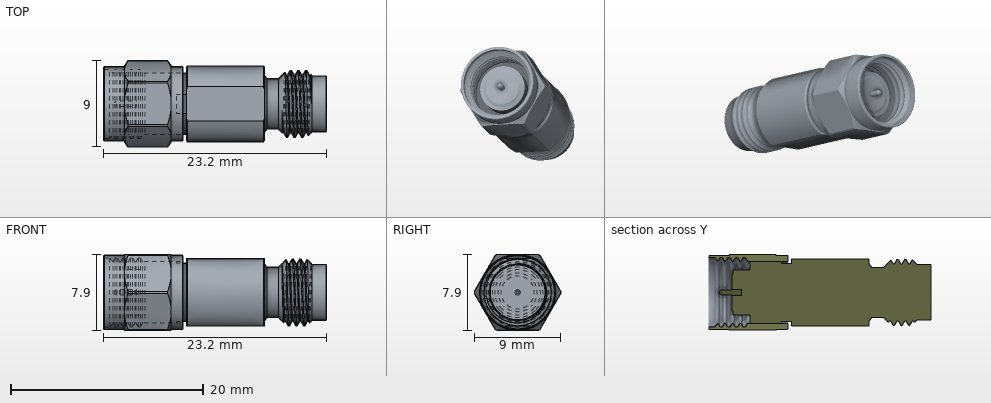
import cadquery as cq
import math


nut_length = 8.27
nut_radius = 3.88
nut_edge_chamfer = 0.08
hex_start = 2.16
hex_end = 7.03
hex_across_flats = 7.9
hex_corner_radius = 4.5
hex_chamfer_radius = 3.96
hex_chamfer_length = 0.37
socket_radius = 3.6
socket_depth = 0.62
bore_radius = 3.2
bore_lead_in = 0.35

thread_pitch = 0.8
crest_width = 0.13
flank_angle = 30
groove_overcut = 0.05

nut_groove_count = 4

male_root_radius = 3.0
male_crest_radius = 3.48
male_crest_at_top = 19.68
male_groove_start = 17.5
male_groove_end = 22.4

spigot_radius = 2.37
spigot_front = 2.5
boss_front = 2.4
boss_front_radius = 1.72
boss_base_radius = 2.02
flange_front = 4.3
neck_flat_start = 7.6
neck_across_flats = 6.08
barrel_start = 8.61
barrel_end = 16.74
barrel_radius = 3.96
barrel_across_flats = 7.05
barrel_chamfer = 0.12
relief_cone_radius = 2.97
relief_start = 17.0
relief_end = 18.2
relief_radius = 2.63
tail_start = 21.7
tail_radius = 2.92
tail_chamfer = 0.07
total_length = 23.2

pin_radius = 0.28
pin_tip = 1.1
pin_tip_radius = 0.13
pin_tip_length = 0.22
pin_seat_depth = 1.0


def turned(points):
    """Revolve an outline of (x, radius) points around the X axis."""
    return cq.Workplane("XY").polyline(points).close().revolve(360, (0, 0, 0), (1, 0, 0))


def groove_outline(crest_radius, root_radius):
    """Corners (x, radius) of one V groove centred on x = 0, cut slightly past the crest."""
    outward = math.copysign(1, crest_radius - root_radius)
    depth = abs(crest_radius - root_radius)
    slope = math.tan(math.radians(flank_angle))
    mouth_half = (thread_pitch - crest_width) / 2 + groove_overcut * slope
    root_half = mouth_half - (depth + groove_overcut) * slope
    mouth_radius = crest_radius + outward * groove_overcut
    return [
        (-root_half, root_radius),
        (root_half, root_radius),
        (mouth_half, mouth_radius),
        (-mouth_half, mouth_radius),
    ]


def make_male_groove():
    """Right-handed helical groove that leaves a crest at male_crest_at_top on the +Z side."""
    outline = groove_outline(male_crest_radius, male_root_radius)
    profile = cq.Workplane("XZ").polyline([(radius, x) for x, radius in outline]).close()
    helix_length = male_groove_end - male_groove_start
    helix = cq.Workplane(cq.Wire.makeHelix(thread_pitch, helix_length, male_root_radius))
    groove = profile.sweep(helix, isFrenet=True)

    groove = groove.rotate((0, 0, 0), (0, 1, 0), 90).translate((male_groove_start, 0, 0))
    start_turn = 360 * (male_groove_start - male_crest_at_top) / thread_pitch
    return groove.rotate((0, 0, 0), (1, 0, 0), start_turn)


def flats_slab(start, end, height):
    """Block that keeps only the part between two flats facing +Z and -Z."""
    width = 4 * barrel_radius
    return (
        cq.Workplane("XY")
        .box(end - start, width, height)
        .translate(((start + end) / 2, 0, 0))
    )


def make_nut():
    sleeve = turned([
        (0, 0),
        (0, nut_radius - nut_edge_chamfer),
        (nut_edge_chamfer, nut_radius),
        (nut_length - nut_edge_chamfer, nut_radius),
        (nut_length, nut_radius - nut_edge_chamfer),
        (nut_length, 0),
    ])
    hex_diameter = hex_across_flats / math.cos(math.radians(30))
    hex_prism = (
        cq.Workplane("YZ")
        .workplane(offset=hex_start)
        .polygon(6, hex_diameter)
        .extrude(hex_end - hex_start)
    )
    hex_envelope = turned([
        (hex_start, 0),
        (hex_start, hex_chamfer_radius),
        (hex_start + hex_chamfer_length, hex_corner_radius),
        (hex_end - hex_chamfer_length, hex_corner_radius),
        (hex_end, hex_chamfer_radius),
        (hex_end, 0),
    ])
    bore = turned([
        (0, 0),
        (0, socket_radius),
        (socket_depth, socket_radius),
        (socket_depth + bore_lead_in, bore_radius),
        (nut_length, bore_radius),
        (nut_length, 0),
    ])
    nut = sleeve.union(hex_prism.intersect(hex_envelope)).cut(bore)

    outline = groove_outline(bore_radius, socket_radius)
    first_groove = socket_depth + bore_lead_in + (thread_pitch - crest_width) / 2
    for index in range(nut_groove_count):
        centre = first_groove + index * thread_pitch
        nut = nut.cut(turned([(centre + x, radius) for x, radius in outline]))
    return nut


def make_front_end():
    """Boss, spigot and round flange, with flats on the rear of the neck."""
    front = turned([
        (boss_front, 0),
        (boss_front, boss_front_radius),
        (spigot_front, boss_base_radius),
        (spigot_front, spigot_radius),
        (flange_front, spigot_radius),
        (flange_front, bore_radius),
        (neck_flat_start, bore_radius),
        (neck_flat_start, 0),
    ])
    neck = turned([
        (neck_flat_start, 0),
        (neck_flat_start, bore_radius),
        (barrel_start, bore_radius),
        (barrel_start, 0),
    ])
    return front.union(neck.intersect(flats_slab(neck_flat_start, barrel_start, neck_across_flats)))


def make_barrel():
    barrel = turned([
        (barrel_start, 0),
        (barrel_start, barrel_radius - barrel_chamfer),
        (barrel_start + barrel_chamfer, barrel_radius),
        (barrel_end - barrel_chamfer, barrel_radius),
        (barrel_end, barrel_radius - barrel_chamfer),
        (barrel_end, 0),
    ])
    return barrel.intersect(flats_slab(barrel_start, barrel_end, barrel_across_flats))


def make_threaded_end():
    """Relief neck, male thread with 45-degree ends, and plain tail."""
    envelope = turned([
        (barrel_end, 0),
        (barrel_end, relief_cone_radius),
        (relief_start, relief_radius),
        (relief_end, relief_radius),
        (relief_end + male_crest_radius - relief_radius, male_crest_radius),
        (tail_start - (male_crest_radius - tail_radius), male_crest_radius),
        (tail_start, tail_radius),
        (total_length - tail_chamfer, tail_radius),
        (total_length, tail_radius - tail_chamfer),
        (total_length, 0),
    ])
    rod = turned([
        (barrel_end, 0),
        (barrel_end, male_crest_radius),
        (total_length, male_crest_radius),
        (total_length, 0),
    ])
    return rod.cut(make_male_groove()).intersect(envelope)


def make_pin():
    pin_end = boss_front + pin_seat_depth
    return turned([
        (pin_tip, 0),
        (pin_tip, pin_tip_radius),
        (pin_tip + pin_tip_length, pin_radius),
        (pin_end, pin_radius),
        (pin_end, 0),
    ])


pin = make_pin()
nut = make_nut()
body = make_front_end().union(make_barrel()).union(make_threaded_end()).cut(pin)

result = cq.Compound.makeCompound([nut.val(), body.val(), pin.val()])